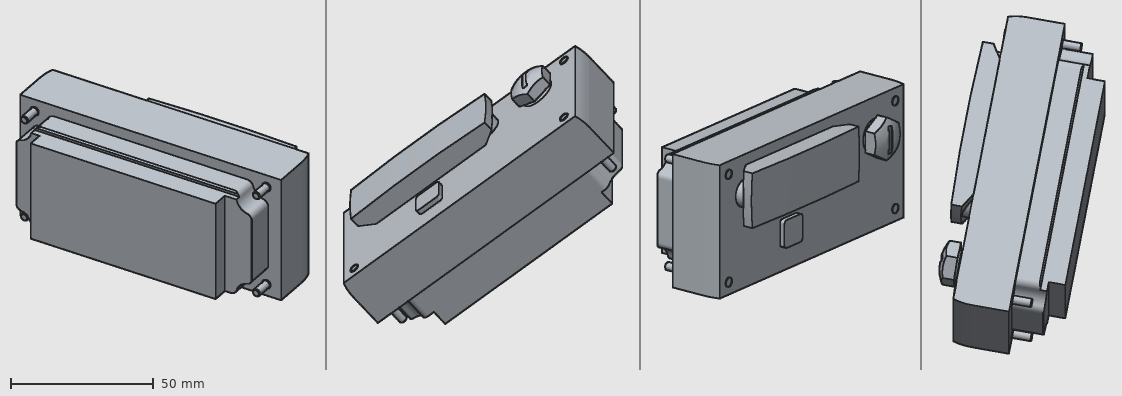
import cadquery as cq
import math


housing_length = 107.3
housing_height = 49.7
housing_depth = 20.1
end_round_start = 13.5
end_round_radius = 21.5

screw_x = 47.6
screw_z = 20.1
screw_diameter = 3.4
screw_shank_diameter = 3.0
screw_collar_length = 0.3
screw_chamfer = 0.3
screw_head_rise = 0.3
screw_reach = 7.1

module_length = 96.8
module_height = 41.0
module_depth = 11.4
right_flange_step = 0.3
screw_clearance_diameter = 11.4
module_corner_radius = 2.6
module_end_chamfer = 0.3
ledge_drop = 1.6
ledge_width = 2.4
ledge_chamfer = 0.6
block_left = -38.6
block_right = 37.3
block_depth = 17.3

upper_row_z = 10.5

cap_center_x = 12.9
cap_length = 60.7
cap_height = 20.4
cap_end_bulge = 0.5
cap_edge_rise = 7.2
cap_middle_rise = 7.9
undercut_rise = 3.3
undercut_length = 5.5
boss_diameter = 10.3
boss_spacing = 50.9

plug_x = -35.6
plug_across_flats = 14.0
plug_neck_diameter = 10.7
plug_flare_diameter = 12.5
plug_neck_rise = 1.6
plug_rise = 7.6
plug_dome_radius = 15.0
plug_flat_diameter = 5.6
slot_width = 1.9
slot_depth = 0.6

pad_size = 10.4
pad_center_z = -10.6
pad_rise = 1.9
pad_corner_radius = 1.3


def cylinder_y(x, z, diameter, y_start, y_end):
    """Cylinder parallel to Y between two Y positions."""
    height = y_end - y_start
    return cq.Workplane(
        cq.Solid.makeCylinder(diameter / 2, height, cq.Vector(x, y_start, z), cq.Vector(0, 1, 0))
    )


def box_between(x_range, y_range, z_range):
    """Box given by its lower and upper limits along each axis."""
    lengths = [upper - lower for lower, upper in (x_range, y_range, z_range)]
    corner = (x_range[0], y_range[0], z_range[0])
    return cq.Workplane().box(*lengths, centered=False).translate(corner)


def screw_positions():
    return [(side * screw_x, level * screw_z) for side in (-1, 1) for level in (-1, 1)]


def make_screw(x, z):
    top = housing_depth + screw_head_rise
    shank = cylinder_y(x, z, screw_shank_diameter, -screw_reach, 0)
    shank = shank.faces("<Y").chamfer(screw_chamfer)
    body = cylinder_y(x, z, screw_diameter, -screw_collar_length, top)
    return body.union(shank)


def make_pad():
    pad = cq.Workplane().box(pad_size, pad_rise, pad_size, centered=(True, False, True))
    pad = pad.edges("|Y").fillet(pad_corner_radius)
    return pad.translate((cap_center_x, housing_depth, pad_center_z))


def make_housing():
    half = housing_length / 2
    rise = housing_depth - end_round_start
    center_x = half - end_round_radius
    corner_x = center_x + math.sqrt(end_round_radius**2 - rise**2)
    half_angle = math.asin(rise / end_round_radius) / 2
    middle_x = center_x + end_round_radius * math.cos(half_angle)
    middle_y = end_round_start + end_round_radius * math.sin(half_angle)
    housing = (
        cq.Workplane()
        .moveTo(-half, 0)
        .lineTo(half, 0)
        .lineTo(half, end_round_start)
        .threePointArc((middle_x, middle_y), (corner_x, housing_depth))
        .lineTo(-corner_x, housing_depth)
        .threePointArc((-middle_x, middle_y), (-half, end_round_start))
        .close()
        .extrude(housing_height / 2, both=True)
    )
    for x, z in screw_positions():
        housing = housing.cut(cylinder_y(x, z, screw_diameter, 0, housing_depth))
    return housing.union(make_pad())


def make_module():
    half_length = module_length / 2
    half_height = module_height / 2
    module = box_between(
        (-half_length, half_length), (-module_depth, 0), (-half_height, half_height)
    )
    for x, z in screw_positions():
        module = module.cut(cylinder_y(x, z, screw_clearance_diameter, -module_depth, 0))
    module = module.edges("|Y").fillet(module_corner_radius)

    right_flange_y = right_flange_step - module_depth
    module = module.cut(
        box_between(
            (block_right, half_length), (-module_depth, right_flange_y), (-half_height, half_height)
        )
    )

    for side, front_y in ((-1, -module_depth), (1, right_flange_y)):
        bevel = (
            cq.Workplane()
            .moveTo(side * half_length, front_y)
            .lineTo(side * half_length, front_y + module_end_chamfer)
            .lineTo(side * (half_length - module_end_chamfer), front_y)
            .close()
            .extrude(half_height, both=True)
        )
        module = module.cut(bevel)

    ledge_z = half_height - ledge_drop
    ledge_y = ledge_width - module_depth
    ledge = (
        cq.Workplane("YZ")
        .polyline([
            (-module_depth, ledge_z),
            (ledge_y, ledge_z),
            (ledge_y, half_height - ledge_chamfer),
            (ledge_y + ledge_chamfer, half_height),
            (-module_depth, half_height),
        ])
        .close()
        .extrude(half_length, both=True)
    )
    module = module.cut(ledge)

    block = box_between(
        (block_left, block_right), (-block_depth, -module_depth), (-half_height, ledge_z)
    )
    return module.union(block)


def make_cap():
    half = cap_length / 2
    end = half + cap_end_bulge
    half_height = cap_height / 2
    plan = (
        cq.Workplane("XZ")
        .moveTo(-half, -half_height)
        .lineTo(half, -half_height)
        .threePointArc((end, 0), (half, half_height))
        .lineTo(-half, half_height)
        .threePointArc((-end, 0), (-half, -half_height))
        .close()
        .extrude(-cap_middle_rise)
    )
    foot = half - undercut_length
    slope = undercut_rise / undercut_length
    end_undercut = undercut_rise + slope * cap_end_bulge
    profile = (
        cq.Workplane()
        .moveTo(-foot, 0)
        .lineTo(foot, 0)
        .lineTo(end, end_undercut)
        .lineTo(end, cap_edge_rise)
        .threePointArc((0, cap_middle_rise), (-end, cap_edge_rise))
        .lineTo(-end, end_undercut)
        .close()
        .extrude(half_height, both=True)
    )
    cap = plan.intersect(profile)
    for side in (-1, 1):
        cap = cap.union(cylinder_y(side * boss_spacing / 2, 0, boss_diameter, 0, undercut_rise))
    return cap.translate((cap_center_x, housing_depth, upper_row_z))


def make_plug():
    flat_radius = plug_flat_diameter / 2
    neck_radius = plug_neck_diameter / 2
    flare_radius = plug_flare_diameter / 2
    corner_radius = plug_across_flats / 2 / math.cos(math.pi / 6)

    hexagon = (
        cq.Workplane("XZ")
        .polygon(6, 2 * corner_radius)
        .extrude(plug_neck_rise - plug_rise)
        .translate((0, plug_neck_rise, 0))
        .rotate((0, 0, 0), (0, 1, 0), 30)
    )

    dome_center_y = plug_rise - math.sqrt(plug_dome_radius**2 - flat_radius**2)
    middle_radius = (flat_radius + corner_radius) / 2

    def dome_y(radius):
        return dome_center_y + math.sqrt(plug_dome_radius**2 - radius**2)

    turned_head = (
        cq.Workplane()
        .moveTo(0, 0)
        .lineTo(corner_radius, 0)
        .lineTo(corner_radius, dome_y(corner_radius))
        .threePointArc((middle_radius, dome_y(middle_radius)), (flat_radius, plug_rise))
        .lineTo(0, plug_rise)
        .close()
        .revolve(360, (0, 0, 0), (0, 1, 0))
    )
    flare_height = flare_radius - neck_radius
    neck = (
        cq.Workplane()
        .polyline([
            (0, 0),
            (flare_radius, 0),
            (neck_radius, flare_height),
            (neck_radius, plug_neck_rise),
            (0, plug_neck_rise),
        ])
        .close()
        .revolve(360, (0, 0, 0), (0, 1, 0))
    )
    slot = box_between(
        (-slot_width / 2, slot_width / 2),
        (plug_rise - slot_depth, plug_rise),
        (-corner_radius, corner_radius),
    )
    plug = hexagon.intersect(turned_head).union(neck).cut(slot)
    return plug.translate((plug_x, housing_depth, upper_row_z))


housing = make_housing()
module = make_module()
cap = make_cap()
plug = make_plug()
screws = [make_screw(x, z) for x, z in screw_positions()]

result = cq.Compound.makeCompound([
    housing.val(),
    module.val(),
    cap.val(),
    plug.val(),
    *[screw.val() for screw in screws],
])